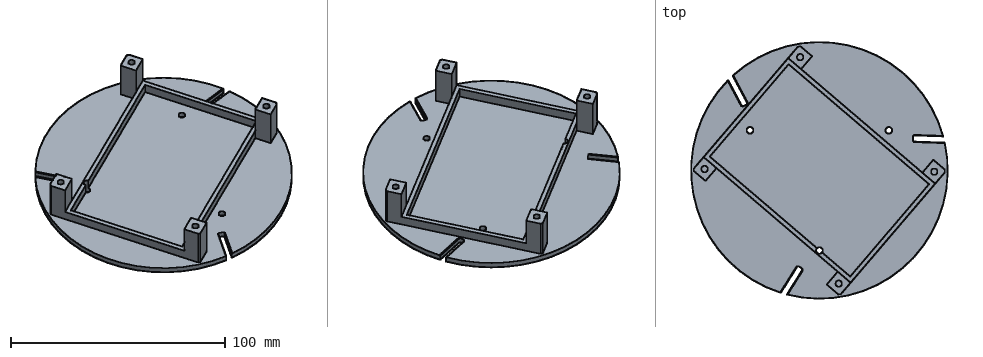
import cadquery as cq
import math

plate_diameter = 119.8
plate_thickness = 3.0

frame_angle = -40.5
frame_length = 90.2
frame_width = 60.7
frame_wall = 2.0
frame_height = 5.0
post_side = 7.9
post_height = 20.0
post_trim_radius = 58.6
hole_diameter = 3.0

pattern_count = 3
hole_circle_radius = 37.4
first_hole_angle = 30.0
slot_angle = -2.0
slot_inner_end = 43.1
slot_offset = 16.4
slot_width = 2.8
slot_end_fillet = 0.5
slot_chamfer = 0.4


def raised(workplane):
    """Turn a feature to the frame angle and lift it onto the plate."""
    turned = workplane.rotate((0, 0, 0), (0, 0, 1), frame_angle)
    return turned.translate((0, 0, plate_thickness))


def make_frame():
    outline = cq.Workplane("XY").rect(frame_length, frame_width)
    opening = (frame_length - 2 * frame_wall, frame_width - 2 * frame_wall)
    return raised(outline.rect(*opening).extrude(frame_height))


def make_posts():
    """Posts outside the long walls, flush with the frame ends, with blind holes down to the plate."""
    spacing_x = frame_length - post_side
    spacing_y = frame_width + post_side
    centres = cq.Workplane("XY").rect(spacing_x, spacing_y, forConstruction=True).vertices()
    posts = centres.rect(post_side, post_side).extrude(post_height)
    posts = posts.intersect(cq.Workplane("XY").circle(post_trim_radius).extrude(post_height))
    holes = centres.circle(hole_diameter / 2).extrude(post_height)
    return raised(posts.cut(holes))


def make_slot(angle):
    """Cutter for one slot open at the rim, with its long upper edges chamfered."""
    length = plate_diameter / 2 - slot_inner_end
    centre_x = slot_inner_end + length / 2
    slot = (
        cq.Workplane("XY")
        .center(centre_x, slot_offset)
        .rect(length, slot_width)
        .extrude(plate_thickness)
        .edges("|Z and <X")
        .fillet(slot_end_fillet)
    )
    half_width = slot_width / 2
    bevel_start = slot_inner_end + slot_end_fillet
    bevel = (
        cq.Workplane("YZ", origin=(bevel_start, slot_offset, plate_thickness))
        .polyline([
            (-half_width - slot_chamfer, 0),
            (half_width + slot_chamfer, 0),
            (half_width, -slot_chamfer),
            (-half_width, -slot_chamfer),
        ])
        .close()
        .extrude(plate_diameter / 2 - bevel_start)
    )
    return slot.union(bevel).rotate((0, 0, 0), (0, 0, 1), angle)


def make_mounting_hole(angle):
    """Cutter passing through the plate and any frame wall above it."""
    x = hole_circle_radius * math.cos(math.radians(angle))
    y = hole_circle_radius * math.sin(math.radians(angle))
    return cq.Workplane("XY").center(x, y).circle(hole_diameter / 2).extrude(plate_thickness + frame_height)


plate = cq.Workplane("XY").circle(plate_diameter / 2).extrude(plate_thickness)
result = plate.union(make_frame()).union(make_posts())

for index in range(pattern_count):
    turn = index * 360 / pattern_count
    result = result.cut(make_slot(slot_angle + turn))
    result = result.cut(make_mounting_hole(first_hole_angle + turn))